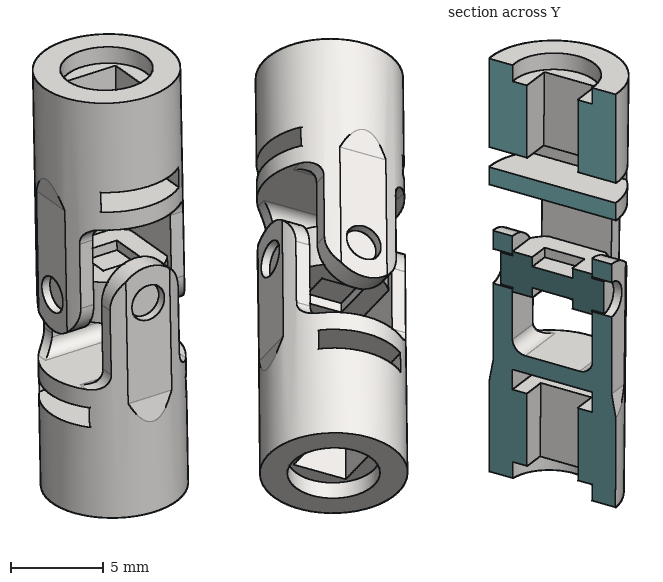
import cadquery as cq
import math

YOKE_DIAMETER = 8.0
HALF_LENGTH = 12.7
LEAN_ANGLE = 1.15
YOKE_RADIUS = YOKE_DIAMETER / 2

ARM_WIDTH = 4.4
FORK_GAP = 5.0
FORK_FLOOR = 4.93
SHOULDER_FILLET = 1.0
GAP_FILLET = 0.8
PIN_HOLE_DIAMETER = 2.1
ARM_RADIUS = ARM_WIDTH / 2

FLAT_DEPTH = 0.25
FLAT_END = 5.75
SLOPE_ANGLE = 10.5
FLAT_OFFSET = YOKE_RADIUS - FLAT_DEPTH

SLOT_TOP = 7.23
SLOT_HEIGHT = 1.2
SLOT_WIDTH = FORK_GAP
COUNTERBORE_DIAMETER = 5.0
COUNTERBORE_DEPTH = 1.0
SOCKET_SIDE = 3.2
SOCKET_BOTTOM = SLOT_TOP

HUB_HEIGHT = 2.5
HUB_DIAMETER = 6.2
HUB_POCKET_SIDE = 2.5
HUB_POCKET_DEPTH = 0.6
PIN_CLEARANCE = 0.05
PIN_DIAMETER = PIN_HOLE_DIAMETER - 2 * PIN_CLEARANCE
PIN_RECESS = 0.49
PIN_LENGTH = 2 * (FLAT_OFFSET - PIN_RECESS)


def yoke_side_outline():
    """Outline across the arms: rounded arm ends below, filleted shoulders above."""
    fillet_mid = SHOULDER_FILLET * (1 - math.sqrt(0.5))
    arm_top = FORK_FLOOR - SHOULDER_FILLET
    shoulder_start = ARM_RADIUS + SHOULDER_FILLET
    return (
        cq.Workplane("XZ")
        .moveTo(-ARM_RADIUS, 0)
        .threePointArc((0, -ARM_RADIUS), (ARM_RADIUS, 0))
        .lineTo(ARM_RADIUS, arm_top)
        .threePointArc((ARM_RADIUS + fillet_mid, FORK_FLOOR - fillet_mid), (shoulder_start, FORK_FLOOR))
        .lineTo(YOKE_DIAMETER, FORK_FLOOR)
        .lineTo(YOKE_DIAMETER, HALF_LENGTH)
        .lineTo(-YOKE_DIAMETER, HALF_LENGTH)
        .lineTo(-YOKE_DIAMETER, FORK_FLOOR)
        .lineTo(-shoulder_start, FORK_FLOOR)
        .threePointArc((-ARM_RADIUS - fillet_mid, FORK_FLOOR - fillet_mid), (-ARM_RADIUS, arm_top))
        .close()
    )


def make_fork_blank():
    """Cylinder cut to the side outline, with the gap between its arms removed."""
    barrel = (
        cq.Workplane("XY")
        .workplane(offset=-ARM_RADIUS)
        .circle(YOKE_RADIUS)
        .extrude(HALF_LENGTH + ARM_RADIUS)
    )
    blank = barrel.intersect(yoke_side_outline().extrude(YOKE_RADIUS, both=True))
    gap = (
        cq.Workplane("XY")
        .workplane(offset=FORK_FLOOR)
        .rect(YOKE_DIAMETER, FORK_GAP)
        .extrude(-FORK_FLOOR - ARM_RADIUS)
        .edges("|X and >Z")
        .fillet(GAP_FILLET)
    )
    return blank.cut(gap)


def make_flat_cutter():
    """Material removed outside the flat of the +Y arm."""
    slope_length = FLAT_DEPTH / math.tan(math.radians(SLOPE_ANGLE))
    return (
        cq.Workplane("YZ")
        .moveTo(YOKE_RADIUS, -ARM_RADIUS)
        .lineTo(FLAT_OFFSET, -ARM_RADIUS)
        .lineTo(FLAT_OFFSET, FLAT_END)
        .lineTo(YOKE_RADIUS, FLAT_END + slope_length)
        .close()
        .extrude(YOKE_RADIUS, both=True)
    )


def make_pin_rod(diameter, length):
    """Round rod along Y, centred on the pin axis."""
    return cq.Workplane("XZ").circle(diameter / 2).extrude(length / 2, both=True)


def make_yoke():
    """Yoke with its mouth up and its pin axis along Y through the origin."""
    yoke = make_fork_blank()
    flat_cutter = make_flat_cutter()
    yoke = yoke.cut(flat_cutter).cut(flat_cutter.mirror("XZ"))
    yoke = yoke.cut(make_pin_rod(PIN_HOLE_DIAMETER, YOKE_DIAMETER))
    slot = (
        cq.Workplane("XY")
        .workplane(offset=SLOT_TOP)
        .rect(YOKE_DIAMETER, SLOT_WIDTH)
        .extrude(-SLOT_HEIGHT)
    )
    counterbore = (
        cq.Workplane("XY")
        .workplane(offset=HALF_LENGTH)
        .circle(COUNTERBORE_DIAMETER / 2)
        .extrude(-COUNTERBORE_DEPTH)
    )
    socket = (
        cq.Workplane("XY")
        .workplane(offset=HALF_LENGTH)
        .rect(SOCKET_SIDE, SOCKET_SIDE)
        .extrude(SOCKET_BOTTOM - HALF_LENGTH)
    )
    return yoke.cut(slot).cut(counterbore).cut(socket)


def make_cross():
    """Hub with four flat sides against the arms, a pocket above and below, and four pins."""
    hub = (
        cq.Workplane("XY")
        .rect(FORK_GAP, FORK_GAP)
        .extrude(HUB_HEIGHT / 2, both=True)
        .intersect(cq.Workplane("XY").circle(HUB_DIAMETER / 2).extrude(HUB_HEIGHT / 2, both=True))
    )
    pin = make_pin_rod(PIN_DIAMETER, PIN_LENGTH)
    hub = hub.union(pin).union(pin.rotate((0, 0, 0), (0, 0, 1), 90))
    for side in (1, -1):
        pocket = (
            cq.Workplane("XY")
            .workplane(offset=side * HUB_HEIGHT / 2)
            .rect(HUB_POCKET_SIDE, HUB_POCKET_SIDE)
            .extrude(-side * HUB_POCKET_DEPTH)
        )
        hub = hub.cut(pocket)
    return hub


def lean(body):
    """Tip a body about the X axis so that its top moves toward -Y."""
    return body.rotate((0, 0, 0), (1, 0, 0), LEAN_ANGLE)


def make_yokes():
    """Two identical yokes, the lower one inverted and turned a quarter turn about Z."""
    yokes = []
    for flip_angle, turn_angle in ((0, 0), (180, 90)):
        yoke = make_yoke()
        yoke = yoke.rotate((0, 0, 0), (1, 0, 0), flip_angle)
        yoke = yoke.rotate((0, 0, 0), (0, 0, 1), turn_angle)
        yokes.append(lean(yoke).val())
    return yokes


yokes = make_yokes()
cross = lean(make_cross())

result = cq.Compound.makeCompound([*yokes, cross.val()])